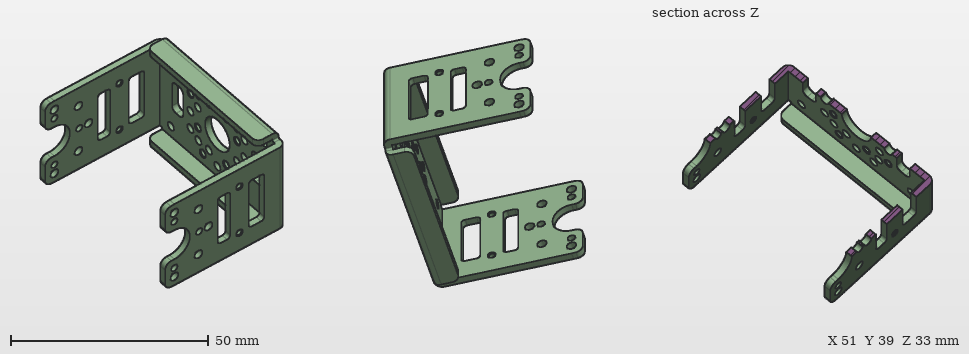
import cadquery as cq
import math

sheet = 2.0
width = 51.0
height = 33.0
pivot_to_back = 36.0
pivot_to_tip = 3.0

half_width = width / 2
half_height = height / 2
back_y = pivot_to_back
plate_front_y = back_y - sheet
arm_inner_x = half_width - sheet
lip_inner_z = half_height - sheet

arm_half_height = 14.0
tip_corner_radius = 2.0
mouth_radius = 5.0
arm_slots = (
    (9.5, 5.0),
    (20.0, 4.0),
)
arm_slot_height = 16.0
arm_slot_corner = 1.0
arm_tap_from_back = 15.0
arm_tap_z = 8.0
arm_tap_diameter = 1.6
arm_tap_rim = 2.1

screw_diameter = 2.5
pin_diameter = 2.0
bolt_radius = 11.0
bolt_diagonal = bolt_radius * math.sqrt(0.5)
pin_radius = 8.0

lip_half_width = 22.5
lip_depth = 7.0
lip_corner_radius = 2.0
relief_radius = lip_inner_z - arm_half_height

bore_diameter = 10.0
plate_tap_diameter = 2.05
corner_hole_x = 19.0
wide_pitch = 6.0
inner_pitch_long = 8.0
inner_pitch_short = 3.5
plate_slot_x = 16.25
plate_slot_width = 4.5
plate_slot_height = 10.0
plate_slot_corner = 1.5

cut_margin = 1.0


def centred_box(size_x, size_y, size_z, centre):
    return cq.Workplane("XY").box(size_x, size_y, size_z).translate(centre)


def quarter_turns(point):
    """The point and its copies turned by 90, 180 and 270 degrees about the centre."""
    x, z = point
    return [(x, z), (-z, x), (-x, -z), (z, -x)]


def make_channel():
    """U-shaped channel: back plate and two arms, rounded outside and sharp inside the bends."""
    tip_y = -pivot_to_tip
    profile = (
        cq.Workplane("XY")
        .moveTo(half_width, tip_y)
        .lineTo(half_width, plate_front_y)
        .radiusArc((arm_inner_x, back_y), -sheet)
        .lineTo(-arm_inner_x, back_y)
        .radiusArc((-half_width, plate_front_y), -sheet)
        .lineTo(-half_width, tip_y)
        .lineTo(-arm_inner_x, tip_y)
        .lineTo(-arm_inner_x, plate_front_y)
        .lineTo(arm_inner_x, plate_front_y)
        .lineTo(arm_inner_x, tip_y)
        .close()
    )
    return profile.extrude(arm_half_height, both=True)


def arm_outline():
    """Prism along X carrying the side outline of both arms, with rounded tips and the pivot mouth."""
    tip_y = -pivot_to_tip
    tip_arc_z = math.sqrt(arm_half_height**2 - pivot_to_tip**2)
    mid_y = tip_y / 2
    mid_z = math.sqrt(arm_half_height**2 - mid_y**2)
    outline = (
        cq.Workplane("YZ")
        .moveTo(back_y, -arm_half_height)
        .lineTo(back_y, arm_half_height)
        .lineTo(0, arm_half_height)
        .threePointArc((mid_y, mid_z), (tip_y, tip_arc_z))
        .lineTo(tip_y, mouth_radius)
        .lineTo(0, mouth_radius)
        .threePointArc((mouth_radius, 0), (0, -mouth_radius))
        .lineTo(tip_y, -mouth_radius)
        .lineTo(tip_y, -tip_arc_z)
        .threePointArc((mid_y, -mid_z), (0, -arm_half_height))
        .close()
        .extrude(half_width, both=True)
    )
    return outline.edges("|X and <Y").fillet(tip_corner_radius)


def make_lip():
    """Upper lip: a strip bent forward from the back plate, with rounded front corners."""
    lip_front_y = back_y - lip_depth
    strip = (
        cq.Workplane("YZ")
        .moveTo(back_y, 0)
        .lineTo(back_y, lip_inner_z)
        .radiusArc((plate_front_y, half_height), -sheet)
        .lineTo(lip_front_y, half_height)
        .lineTo(lip_front_y, lip_inner_z)
        .lineTo(plate_front_y, lip_inner_z)
        .lineTo(plate_front_y, 0)
        .close()
        .extrude(lip_half_width, both=True)
    )
    return strip.edges("|Z and <Y").fillet(lip_corner_radius)


def make_relief(side):
    """Concave web joining the end of the upper lip to the top edge of the back plate."""
    start_x = side * lip_half_width
    end_x = side * (lip_half_width + relief_radius)
    sagitta = relief_radius * math.sqrt(0.5)
    middle = (end_x - side * sagitta, lip_inner_z - sagitta)
    return (
        cq.Workplane("XZ", origin=(0, back_y, 0))
        .moveTo(start_x, lip_inner_z)
        .threePointArc(middle, (end_x, arm_half_height))
        .lineTo(start_x, arm_half_height)
        .close()
        .extrude(sheet)
    )


def holes_along_y(points, diameter):
    """Drills through the back plate at (x, z) points."""
    return (
        cq.Workplane("XZ", origin=(0, back_y + cut_margin, 0))
        .pushPoints(points)
        .circle(diameter / 2)
        .extrude(sheet + 2 * cut_margin)
    )


def holes_along_x(points, diameter):
    """Drills through both arms at (y, z) points."""
    return (
        cq.Workplane("YZ")
        .pushPoints(points)
        .circle(diameter / 2)
        .extrude(half_width + cut_margin, both=True)
    )


def tapped_hole(face_point, direction, diameter, rim):
    """Hole through one sheet thickness, chamfered at 45 degrees on both faces."""
    chamfer = (rim - diameter) / 2
    start = cq.Vector(*face_point)
    axis = cq.Vector(*direction)
    end = start + axis * sheet
    drill = cq.Solid.makeCylinder(diameter / 2, sheet, start, axis)
    near_rim = cq.Solid.makeCone(rim / 2, diameter / 2, chamfer, start, axis)
    far_rim = cq.Solid.makeCone(rim / 2, diameter / 2, chamfer, end, axis * -1)
    return drill.fuse(near_rim, far_rim)


def cut_arm_features(body):
    for from_back, slot_width in arm_slots:
        slot = centred_box(width + 2 * cut_margin, slot_width, arm_slot_height, (0, back_y - from_back, 0))
        body = body.cut(slot.edges("|X").fillet(arm_slot_corner))

    screw_points = [(bolt_radius, 0)]
    pin_points = [(pin_radius, 0)]
    for side in (-1, 1):
        screw_points.append((0, side * bolt_radius))
        screw_points.append((bolt_diagonal, side * bolt_diagonal))
        pin_points.append((0, side * pin_radius))
    body = body.cut(holes_along_x(screw_points, screw_diameter))
    body = body.cut(holes_along_x(pin_points, pin_diameter))

    tap_y = back_y - arm_tap_from_back
    for side in (-1, 1):
        for tap_z in (-arm_tap_z, arm_tap_z):
            face_point = (side * arm_inner_x, tap_y, tap_z)
            body = body.cut(tapped_hole(face_point, (side, 0, 0), arm_tap_diameter, arm_tap_rim))
    return body


def cut_plate_features(body):
    body = body.cut(holes_along_y([(0, 0)], bore_diameter))

    screw_points = [(x, z) for x in (-corner_hole_x, corner_hole_x) for z in (-bolt_radius, bolt_radius)]
    screw_points += quarter_turns((bolt_radius, 0))
    screw_points += quarter_turns((bolt_diagonal, bolt_diagonal))
    screw_points += quarter_turns((bolt_radius, wide_pitch))
    screw_points += quarter_turns((inner_pitch_short, inner_pitch_long))
    body = body.cut(holes_along_y(screw_points, screw_diameter))

    tap_points = quarter_turns((wide_pitch, bolt_radius))
    tap_points += quarter_turns((inner_pitch_long, inner_pitch_short))
    for x, z in tap_points:
        face_point = (x, plate_front_y, z)
        body = body.cut(tapped_hole(face_point, (0, 1, 0), plate_tap_diameter, screw_diameter))

    for x in (-plate_slot_x, plate_slot_x):
        slot = centred_box(plate_slot_width, 2 * sheet, plate_slot_height, (x, back_y - sheet / 2, 0))
        body = body.cut(slot.edges("|Y").fillet(plate_slot_corner))
    return body


def make_bracket():
    upper = make_lip()
    for side in (-1, 1):
        upper = upper.union(make_relief(side))
    lower = upper.mirror("XY")
    body = make_channel().intersect(arm_outline()).union(upper).union(lower)
    return cut_plate_features(cut_arm_features(body))


result = make_bracket()